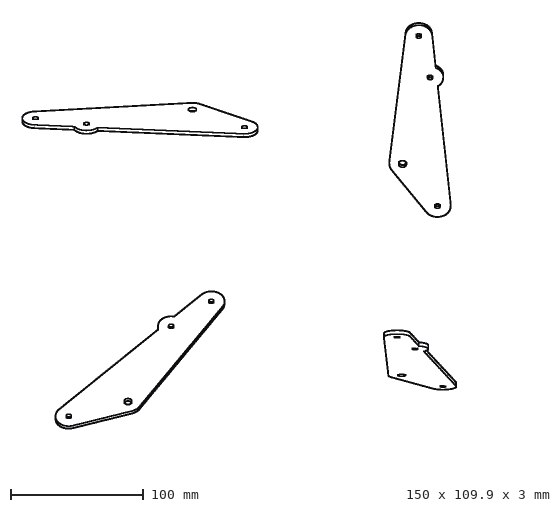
import cadquery as cq
import math

length = 150.0
width = 109.9
thickness = 3.0

lobe_radius = 10.0
small_hole = 4.0
large_hole = 6.0

lower_end = (0.0, 0.0)
upper_end = (length - 2 * lobe_radius, width - 2 * lobe_radius)
side_pivot = (35.0, 18.0)
corner_pivot = (83.0, 85.0)


def lobe_point(center, angle):
    """Point on the lobe edge around a pivot, at an angle in radians."""
    return (
        center[0] + lobe_radius * math.cos(angle),
        center[1] + lobe_radius * math.sin(angle),
    )


def edge_normal(start, end):
    """Outward angle of a straight edge walked counterclockwise."""
    return math.atan2(end[1] - start[1], end[0] - start[0]) - math.pi / 2


def rounded_hull(pivots):
    """Plate bounded by lobes joined with tangent lines; pivots run counterclockwise."""
    outline = None
    for i, pivot in enumerate(pivots):
        following = pivots[(i + 1) % len(pivots)]
        angle_in = edge_normal(pivots[i - 1], pivot)
        angle_out = edge_normal(pivot, following)
        turn = (angle_out - angle_in) % (2 * math.pi)
        arc_start = lobe_point(pivot, angle_in)
        if outline is None:
            outline = cq.Workplane("XY").moveTo(*arc_start)
        else:
            outline = outline.lineTo(*arc_start)
        outline = outline.threePointArc(
            lobe_point(pivot, angle_in + turn / 2), lobe_point(pivot, angle_out)
        )
    return outline.close().extrude(thickness)


def cylinders(centers, diameter):
    """Full-thickness cylinders at the given centres."""
    return cq.Workplane("XY").pushPoints(centers).circle(diameter / 2).extrude(thickness)


plate = rounded_hull([lower_end, upper_end, corner_pivot])
plate = plate.union(cylinders([side_pivot], 2 * lobe_radius))

plate = plate.cut(cylinders([lower_end, side_pivot, upper_end], small_hole))
result = plate.cut(cylinders([corner_pivot], large_hole))